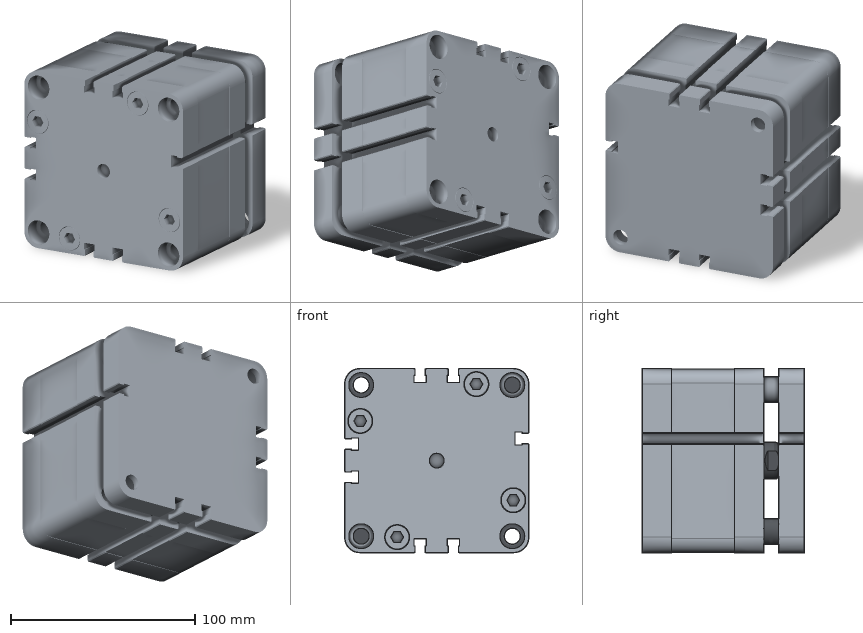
import cadquery as cq
import math

SIZE = 100.0
COVER_LENGTH = 16.0
BARREL_LENGTH = 34.0
GAP = 8.0
PLATE_LENGTH = 14.0
COVER_CORNER_RADIUS = 8.5
BARREL_CORNER_RADIUS = 7.6
BARREL_INSET = 0.25
BARREL_SIZE = SIZE - 2 * BARREL_INSET
HALF = SIZE / 2

LENGTH = 2 * COVER_LENGTH + BARREL_LENGTH + GAP + PLATE_LENGTH
FRONT = -LENGTH / 2
BARREL_START = FRONT + COVER_LENGTH
REAR_COVER_START = BARREL_START + BARREL_LENGTH
HOUSING_END = REAR_COVER_START + COVER_LENGTH
PLATE_START = HOUSING_END + GAP

SLOT_OFFSET = 9.0
SLOT_DEPTH = 7.5
SLOT_LIP = 3.7
SLOT_MOUTH = 5.5
SLOT_WIDTH = 6.5
SIDE_SLOT_OFFSET = 12.0
SIDE_SLOT_WIDTH = 7.0
MOUTH_CHAMFER = 0.5

MOUNT_OFFSET = 41.0
MOUNT_HOLE_DIAMETER = 8.6
MOUNT_RECESS_DIAMETER = 13.5
MOUNT_RECESS_DEPTH = 9.0
PLATE_RECESS_DEPTH = 10.0

SCREW_LONG_OFFSET = 41.5
SCREW_SHORT_OFFSET = 21.5
SCREW_HEAD_DIAMETER = 13.0
SCREW_POCKET_DIAMETER = 13.5
SCREW_POCKET_DEPTH = 8.0
SOCKET_ACROSS_FLATS = 6.0
SOCKET_DEPTH = 4.0

CENTRE_HOLE_DIAMETER = 8.0
CENTRE_HOLE_DEPTH = 4.0

PIN_DIAMETER = 14.0
PIN_OFFSET = 38.5
ROD_DIAMETER = 20.0
ROD_ACROSS_FLATS = 17.0
ROD_FLAT_LENGTH = 5.8
ROD_END_FILLET = 1.8


def section_plane(y):
    """XZ plane at station y, with its normal along +Y; local y is -Z."""
    return cq.Workplane(cq.Plane(origin=(0, y, 0), xDir=(1, 0, 0), normal=(0, 1, 0)))


def bar(y, length, diameter, x=0.0, z=0.0):
    """Round bar along +Y starting at station y."""
    return section_plane(y).center(x, -z).circle(diameter / 2).extrude(length)


def slot_cutter(y, length, side_angle, offset, width, chamfer, surface):
    """T-slot along Y. It is shaped on the +Z side, then turned about Y by side_angle.

    The chamfered mouth opens at distance surface from the axis.
    """
    half_mouth = SLOT_MOUTH / 2
    half_width = width / 2
    lip_z = HALF - SLOT_LIP
    floor_z = HALF - SLOT_DEPTH
    right_side = [(half_mouth, lip_z), (half_width, lip_z), (half_width, floor_z)]
    if chamfer > 0:
        right_side.insert(0, (half_mouth, surface - chamfer))
    right_side.insert(0, (half_mouth + chamfer, surface))
    left_side = [(-x, z) for x, z in reversed(right_side)]
    outline = [(offset + x, -z) for x, z in right_side + left_side]
    cutter = section_plane(y).polyline(outline).close().extrude(length)
    return cutter.rotate((0, 0, 0), (0, 1, 0), side_angle)


def slotted_block(y, length, corner_radius, z_chamfer, size=SIZE):
    """Square block with rounded long edges and T-slots; z_chamfer applies to the +Z and -Z mouths."""
    block = section_plane(y).rect(size, size).extrude(length).edges("|Y").fillet(corner_radius)
    for side_angle, chamfer in ((0, z_chamfer), (180, z_chamfer), (-90, MOUTH_CHAMFER)):
        for offset in (-SLOT_OFFSET, SLOT_OFFSET):
            block = block.cut(slot_cutter(y, length, side_angle, offset, SLOT_WIDTH, chamfer, size / 2))
    return block.cut(
        slot_cutter(y, length, 90, -SIDE_SLOT_OFFSET, SIDE_SLOT_WIDTH, MOUTH_CHAMFER, size / 2)
    )


def housing():
    front = slotted_block(FRONT, COVER_LENGTH, COVER_CORNER_RADIUS, MOUTH_CHAMFER)
    barrel = slotted_block(BARREL_START, BARREL_LENGTH, BARREL_CORNER_RADIUS, 0, BARREL_SIZE)
    rear = slotted_block(REAR_COVER_START, COVER_LENGTH, COVER_CORNER_RADIUS, MOUTH_CHAMFER)
    return front.union(barrel).union(rear)


def mounting_hole(x, z, length):
    """Hole with a counterbore in the front cover."""
    hole = bar(FRONT, length, MOUNT_HOLE_DIAMETER, x, z)
    return hole.union(bar(FRONT, MOUNT_RECESS_DEPTH, MOUNT_RECESS_DIAMETER, x, z))


def through_mounting_hole(x, z):
    """Mounting hole through housing and plate, with a second counterbore in the plate."""
    hole = mounting_hole(x, z, LENGTH)
    return hole.union(bar(PLATE_START, PLATE_RECESS_DEPTH, MOUNT_RECESS_DIAMETER, x, z))


def screw_clearance(x, z):
    """Ring around a screw head plus its hexagon socket."""
    ring = (
        section_plane(FRONT).center(x, -z)
        .circle(SCREW_POCKET_DIAMETER / 2)
        .circle(SCREW_HEAD_DIAMETER / 2)
        .extrude(SCREW_POCKET_DEPTH)
    )
    across_corners = SOCKET_ACROSS_FLATS / math.cos(math.pi / 6)
    socket = section_plane(FRONT).center(x, -z).polygon(6, across_corners).extrude(SOCKET_DEPTH)
    return ring.union(socket)


def piston_rod():
    """Rod between housing and plate, with a rounded end and two wrench flats."""
    radius = ROD_DIAMETER / 2
    rod = bar(HOUSING_END, GAP, ROD_DIAMETER).faces(">Y").edges().fillet(ROD_END_FILLET)
    half_flats = ROD_ACROSS_FLATS / 2
    flat_start = PLATE_START - ROD_FLAT_LENGTH
    flat = (
        cq.Workplane("XY")
        .polyline([
            (half_flats, PLATE_START),
            (half_flats, flat_start),
            (radius, flat_start - (radius - half_flats)),
            (radius, PLATE_START),
        ])
        .close()
        .extrude(radius, both=True)
    )
    return rod.cut(flat).cut(flat.mirror("YZ"))


result = housing()
result = result.union(slotted_block(PLATE_START, PLATE_LENGTH, COVER_CORNER_RADIUS, MOUTH_CHAMFER))
result = result.union(piston_rod())

for sign in (-1, 1):
    pin = sign * PIN_OFFSET
    mount = sign * MOUNT_OFFSET
    screw_long = sign * SCREW_LONG_OFFSET
    screw_short = sign * SCREW_SHORT_OFFSET
    result = result.union(bar(HOUSING_END, GAP, PIN_DIAMETER, pin, pin))
    result = result.cut(mounting_hole(mount, mount, COVER_LENGTH))
    result = result.cut(through_mounting_hole(mount, -mount))
    result = result.cut(screw_clearance(screw_long, -screw_short))
    result = result.cut(screw_clearance(screw_short, screw_long))

result = result.cut(bar(FRONT, CENTRE_HOLE_DEPTH, CENTRE_HOLE_DIAMETER))